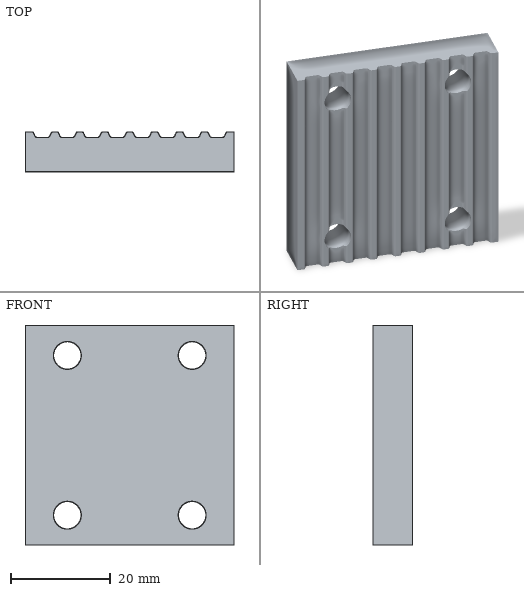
import cadquery as cq
import math


width = 41.8
thickness = 8.0
height = 44.0

belt_pitch = 5.0
groove_count = 8
groove_depth = 1.1
groove_floor_width = 2.7
flank_angle = 25.0
groove_corner_radius = 0.4

hole_diameter = 5.5
hole_spacing_x = 25.0
hole_spacing_z = 32.0

groove_mouth_width = groove_floor_width + 2 * groove_depth * math.tan(math.radians(flank_angle))


def plate_profile():
    """Closed XY outline of the plate with trapezoidal grooves along its +Y edge."""
    front_y = -thickness / 2
    crest_y = thickness / 2
    floor_y = crest_y - groove_depth
    first_groove_x = -belt_pitch * (groove_count - 1) / 2

    points = [(-width / 2, front_y), (-width / 2, crest_y)]
    for index in range(groove_count):
        groove_x = first_groove_x + index * belt_pitch
        points += [
            (groove_x - groove_mouth_width / 2, crest_y),
            (groove_x - groove_floor_width / 2, floor_y),
            (groove_x + groove_floor_width / 2, floor_y),
            (groove_x + groove_mouth_width / 2, crest_y),
        ]
    points += [(width / 2, crest_y), (width / 2, front_y)]
    return points


def grooved_plate():
    """Extrude the outline along Z and round the crests and roots of the grooves."""
    plate = (
        cq.Workplane("XY")
        .polyline(plate_profile())
        .close()
        .extrude(height / 2, both=True)
    )
    groove_edges = cq.selectors.BoxSelector(
        (-width / 2 + groove_corner_radius, 0, -height),
        (width / 2 - groove_corner_radius, thickness, height),
    )
    return plate.edges("|Z").edges(groove_edges).fillet(groove_corner_radius)


def screw_holes():
    """Four cylinders on a rectangular pattern, passing right through the plate."""
    return (
        cq.Workplane("XZ")
        .rect(hole_spacing_x, hole_spacing_z, forConstruction=True)
        .vertices()
        .circle(hole_diameter / 2)
        .extrude(thickness, both=True)
    )


result = grooved_plate().cut(screw_holes())